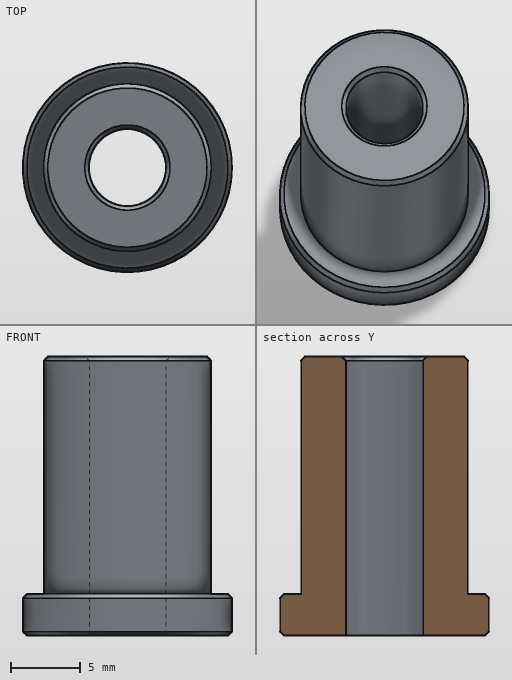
import cadquery as cq

total_height = 20.0
flange_diameter = 15.0
flange_height = 3.0
body_diameter = 12.0
bore_diameter = 5.5
edge_chamfer = 0.3

flange = cq.Workplane("XY").circle(flange_diameter / 2).extrude(flange_height)
flange = flange.edges().chamfer(edge_chamfer)

body = cq.Workplane("XY").circle(body_diameter / 2).extrude(total_height)
body = body.faces(">Z").edges().chamfer(edge_chamfer)

bore = cq.Workplane("XY").circle(bore_diameter / 2).extrude(total_height)
bushing = flange.union(body).cut(bore)
bore_mouth = cq.selectors.RadiusNthSelector(0)
result = bushing.faces(">Z").edges(bore_mouth).chamfer(edge_chamfer)